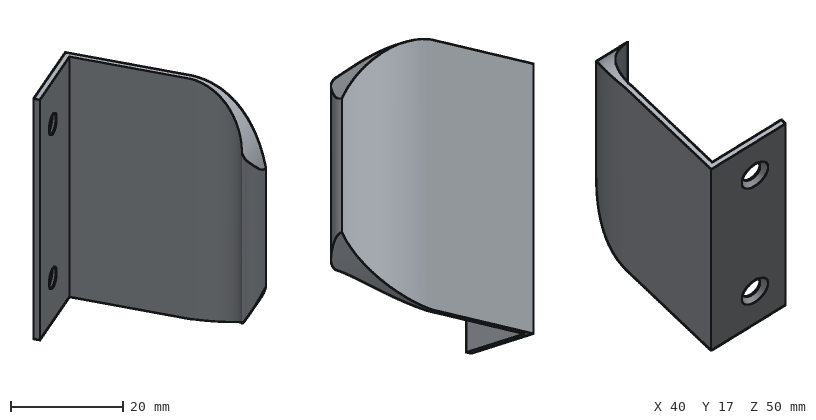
import cadquery as cq

length = 40.0
flange_depth = 17.0
height = 50.0
wall = 1.2

flat_length = 25.0
back_radius = 22.0
inner_radius = 14.5
nose_radius = 8.0
tip_x = 37.5
tip_y = -11.75
tip_fillet = 0.6

corner_start_x = 24.0
corner_radius = 18.2
end_height = 24.8

hole_diameter = 4.0
countersink_diameter = 6.0
countersink_angle = 90.0
hole_spacing = 32.0
hole_y = -10.0


def make_profile_body():
    """Flange, web and grip as one constant section along Z, centred on Z = 0."""
    grip_run = length - flat_length
    grip_end_y = (back_radius**2 - grip_run**2) ** 0.5 - back_radius
    body = (
        cq.Workplane("XY")
        .workplane(offset=-height / 2)
        .moveTo(0, 0)
        .lineTo(flat_length, 0)
        .radiusArc((length, grip_end_y), back_radius)
        .radiusArc((tip_x, tip_y), nose_radius)
        .radiusArc((flat_length, -wall), -inner_radius)
        .lineTo(wall, -wall)
        .lineTo(wall, -flange_depth)
        .lineTo(0, -flange_depth)
        .close()
        .extrude(height)
    )
    tip_edge = cq.selectors.NearestToPointSelector((tip_x, tip_y, 0))
    return body.edges(tip_edge).fillet(tip_fillet)


def make_side_outline():
    """Block whose XZ outline rounds the free corners of the grip."""
    half_height = height / 2
    half_end = end_height / 2
    return (
        cq.Workplane("XZ")
        .moveTo(0, -half_height)
        .lineTo(corner_start_x, -half_height)
        .radiusArc((length, -half_end), -corner_radius)
        .lineTo(length, half_end)
        .radiusArc((corner_start_x, half_height), -corner_radius)
        .lineTo(0, half_height)
        .close()
        .extrude(flange_depth)
    )


def cut_screw_holes(body):
    """Through holes along X, countersunk from the outer face of the flange."""
    outer_face = cq.Plane(origin=(0, hole_y, 0), xDir=(0, -1, 0), normal=(-1, 0, 0))
    half_spacing = hole_spacing / 2
    return (
        body.copyWorkplane(cq.Workplane(outer_face))
        .pushPoints([(0, -half_spacing), (0, half_spacing)])
        .cskHole(hole_diameter, countersink_diameter, countersink_angle, depth=wall)
    )


result = cut_screw_holes(make_profile_body().intersect(make_side_outline()))